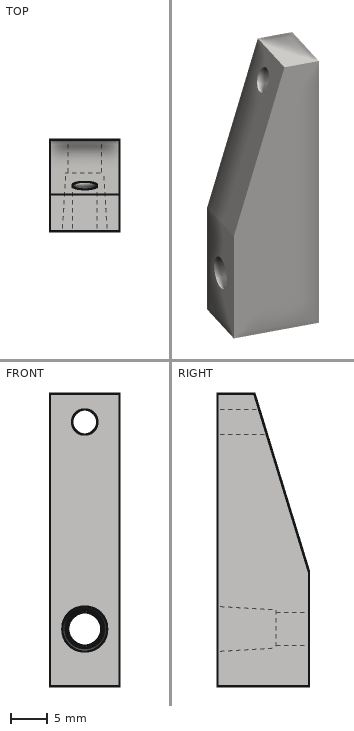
import cadquery as cq

width = 9.65
depth = 12.7
height = 40.45
top_depth = 5.15
slope_start_height = 15.78

upper_hole_diameter = 3.45
upper_hole_height = 36.55

lower_hole_height = 7.95
socket_mouth_diameter = 6.25
socket_floor_diameter = 5.25
socket_depth = 8.1
lower_bore_diameter = 4.57


def make_block():
    """Upright block, front face on Y = 0, with the upper back sloped toward the front."""
    return (
        cq.Workplane("YZ")
        .polyline([
            (0, 0),
            (depth, 0),
            (depth, slope_start_height),
            (top_depth, height),
            (0, height),
        ])
        .close()
        .extrude(width / 2, both=True)
    )


def make_through_hole(diameter, hole_height):
    """Cylinder running front to back through the full depth."""
    return cq.Workplane("XZ").center(0, hole_height).circle(diameter / 2).extrude(-depth)


def make_socket():
    """Cone narrowing from the front face toward the back."""
    return cq.Workplane(
        cq.Solid.makeCone(
            socket_mouth_diameter / 2,
            socket_floor_diameter / 2,
            socket_depth,
            cq.Vector(0, 0, lower_hole_height),
            cq.Vector(0, 1, 0),
        )
    )


result = (
    make_block()
    .cut(make_through_hole(upper_hole_diameter, upper_hole_height))
    .cut(make_through_hole(lower_bore_diameter, lower_hole_height))
    .cut(make_socket())
)